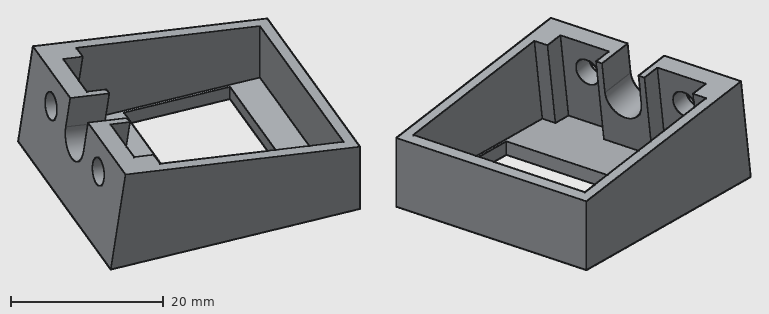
import cadquery as cq
import math

width = 31.4
length = 35.4
front_height = 14.73
back_height = 10.02
tilt = 8.1
lean = math.tan(math.radians(tilt))
top_front_y = front_height * lean

pocket_width = 28.32
back_wall = 1.7
floor_thickness = 2.0
window_width = 27.47
window_front_y = 14.23
window_back_y = 29.28

front_wall = 5.65
recessed_wall = 2.83
recess_inner_x = 4.0
recess_outer_x = 12.0

channel_diameter = 6.02
hole_diameter = 3.8
hole_spacing = 16.0
opening_height = 10.3
overrun = 1.77


def extrude_side_profile(points, x_min, x_max):
    """Extrude an outline of (y, z) points from x_min to x_max."""
    return cq.Workplane("YZ", origin=(x_min, 0, 0)).polyline(points).close().extrude(x_max - x_min)


def make_body():
    outline = [(0, 0), (length, 0), (length, back_height), (top_front_y, front_height)]
    return extrude_side_profile(outline, -width / 2, width / 2)


def make_cavity(wall, back_y, x_min, x_max):
    """Cavity above the floor whose front side leans parallel to the front face."""
    cut_top = front_height + overrun
    outline = [
        (wall + floor_thickness * lean, floor_thickness),
        (back_y, floor_thickness),
        (back_y, cut_top),
        (wall + cut_top * lean, cut_top),
    ]
    return extrude_side_profile(outline, x_min, x_max)


def make_window():
    depth = window_back_y - window_front_y
    return cq.Workplane("XY").box(
        window_width, depth, 2 * floor_thickness
    ).translate((0, (window_front_y + window_back_y) / 2, 0))


front_plane = cq.Plane(
    origin=(0, opening_height * lean, opening_height),
    xDir=(-1, 0, 0),
    normal=(0, 1, -lean),
)


def make_front_openings():
    start = cq.Workplane(front_plane).workplane(offset=-overrun)
    depth = front_wall + 2 * overrun
    holes = start.pushPoints(
        [(-hole_spacing / 2, 0), (hole_spacing / 2, 0)]
    ).circle(hole_diameter / 2).extrude(depth)
    channel = start.circle(channel_diameter / 2).extrude(depth)
    slot_height = front_height
    slot = start.center(0, slot_height / 2).rect(channel_diameter, slot_height).extrude(depth)
    return holes.union(channel).union(slot)


result = make_body()
result = result.cut(make_cavity(front_wall, length - back_wall, -pocket_width / 2, pocket_width / 2))
recess_back_y = length / 2
for x_min, x_max in [(-recess_outer_x, -recess_inner_x), (recess_inner_x, recess_outer_x)]:
    result = result.cut(make_cavity(recessed_wall, recess_back_y, x_min, x_max))
result = result.cut(make_window())
result = result.cut(make_front_openings())